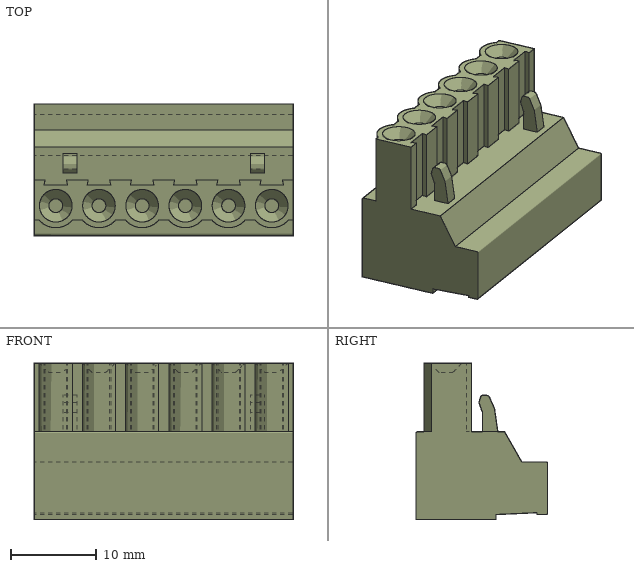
import cadquery as cq
import math

length = 30.48
depth = 15.5
height = 18.4
pole_count = 6
pitch = length / pole_count

shoulder_z = 10.33
slope_top_y = 10.45
slope_foot_y = 12.47
ledge_z = 6.8
heel_y = 9.45
underside_z = 0.58
lip_front_y = 14.23
recess_z = 0.8
front_edge_radius = 0.25
back_edge_radius = 0.18

tower_front_y = 1.83
tower_back_y = 6.55
tower_height = height - shoulder_z
funnel_y = 3.55
lobe_radius = 2.6
lobe_half_chord = math.sqrt(lobe_radius**2 - (funnel_y - tower_front_y) ** 2)

funnel_top_diameter = 3.85
funnel_floor_diameter = 1.62
funnel_depth = (funnel_top_diameter - funnel_floor_diameter) / 2

groove_depth = 0.6
groove_mouth_width = 2.53
groove_floor_width = 2.77

hook_width = 1.65
hook_inset = 3.38
hook_top_z = 14.63
hook_back_y = 9.65
hook_front_y = 7.83
hook_back_bend_y = 9.27
hook_back_bend_z = 13.08
hook_top_back_y = 8.55
hook_top_front_y = 7.68
hook_nose_y = 7.4
hook_nose_z = 13.78
hook_front_bend_z = 12.6
hook_back_tip_radius = 0.43
hook_front_tip_radius = 0.3

pole_positions = [(pitch * (i + 0.5), funnel_y) for i in range(pole_count)]


def make_body():
    """Stepped base block with its long outer edges rounded."""
    profile = [
        (0, 0),
        (0, shoulder_z),
        (slope_top_y, shoulder_z),
        (slope_foot_y, ledge_z),
        (depth, ledge_z),
        (depth, underside_z),
        (lip_front_y, underside_z),
        (lip_front_y, recess_z),
        (heel_y, underside_z),
        (heel_y, 0),
    ]
    body = cq.Workplane("YZ").polyline(profile).close().extrude(length)
    body = body.faces(">Y").edges("|X").fillet(back_edge_radius)
    return body.faces("<Y").edges("|X and >Z").fillet(front_edge_radius)


def make_tower():
    """Wall with one round lobe per pole bulging from its front, concentric with the funnel."""
    lobe_front_y = funnel_y - lobe_radius
    outline = cq.Workplane("XY").workplane(offset=shoulder_z).moveTo(0, tower_front_y)
    for x, _ in pole_positions:
        outline = outline.lineTo(x - lobe_half_chord, tower_front_y)
        outline = outline.threePointArc((x, lobe_front_y), (x + lobe_half_chord, tower_front_y))
    outline = outline.lineTo(length, tower_front_y).lineTo(length, tower_back_y).lineTo(0, tower_back_y)
    return outline.close().extrude(tower_height)


def make_funnels():
    """Cutting cones that narrow downwards from the top of the tower."""
    cone = cq.Solid.makeCone(
        funnel_floor_diameter / 2,
        funnel_top_diameter / 2,
        funnel_depth,
        pnt=cq.Vector(0, 0, height - funnel_depth),
    )
    return cq.Workplane("XY").pushPoints(pole_positions).eachpoint(lambda place: cone.moved(place))


def make_grooves():
    """Cutting prisms for the dovetail grooves, full height of the tower."""
    grooves = cq.Workplane("XY")
    for x, _ in pole_positions:
        outline = [
            (x - groove_mouth_width / 2, tower_back_y),
            (x + groove_mouth_width / 2, tower_back_y),
            (x + groove_floor_width / 2, tower_back_y - groove_depth),
            (x - groove_floor_width / 2, tower_back_y - groove_depth),
        ]
        prism = cq.Workplane("XY").workplane(offset=shoulder_z).polyline(outline).close()
        grooves = grooves.add(prism.extrude(tower_height))
    return grooves.combine()


def make_hook(left_x):
    """Latch hook standing on the shoulder, its nose pointing to the tower."""
    profile = [
        (hook_front_y, shoulder_z),
        (hook_back_y, shoulder_z),
        (hook_back_bend_y, hook_back_bend_z),
        (hook_top_back_y, hook_top_z),
        (hook_top_front_y, hook_top_z),
        (hook_nose_y, hook_nose_z),
        (hook_front_y, hook_front_bend_z),
    ]
    hook = cq.Workplane("YZ").workplane(offset=left_x).polyline(profile).close().extrude(hook_width)
    hook = hook.faces(">Z").edges(">Y").fillet(hook_back_tip_radius)
    return hook.faces(">Z").edges("<Y").fillet(hook_front_tip_radius)


result = make_body().union(make_tower())
result = result.cut(make_grooves()).cut(make_funnels())
for hook_x in (hook_inset, length - hook_inset - hook_width):
    result = result.union(make_hook(hook_x))